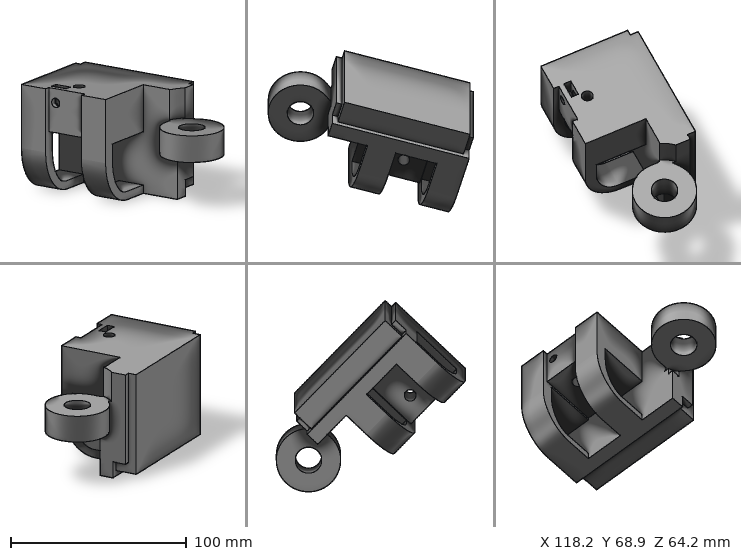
import cadquery as cq
import math

TURN = -10.5

LENGTH = 81.23
DEPTH = 60.02
HEIGHT = 64.17
U_RIGHT = -14.5
U_LEFT = U_RIGHT - LENGTH
V_BACK = 28.35
V_FRONT = V_BACK - DEPTH

WALL_THICKNESS = 21.7
V_WALL = V_BACK - WALL_THICKNESS
LEG_WIDTH = 16.68
LEGS_SPAN = 57.87
U_LEGS_RIGHT = U_LEFT + LEGS_SPAN
GAP_WIDTH = LEGS_SPAN - 2 * LEG_WIDTH
U_GAP = U_LEFT + LEG_WIDTH
WEB_SETBACK = 3.3
V_WEB = V_FRONT + WEB_SETBACK
WEB_HEIGHT = 26.0

OUTER_ROUND_V = 22.2
OUTER_ROUND_Z = 26.5

WINDOW_SIZE = 31.4
FLOOR_THICKNESS = 5.0
LEG_FRONT_THICKNESS = DEPTH - WALL_THICKNESS - WINDOW_SIZE
INNER_ROUND_V = 14.2
INNER_ROUND_Z = OUTER_ROUND_Z - FLOOR_THICKNESS

END_REBATE = 3.4
UPRIGHT_REBATE_DEPTH = 5.0
LOWER_REBATE_DEPTH = 13.3
LOWER_REBATE_TOP = 9.8
BOTTOM_STEP = 3.5

EYE_RADIUS = 18.35
EYE_BORE_RADIUS = 7.5
EYE_THICKNESS = 15.75
EYE_BELOW_TOP = 17.75
EYE_TOP = HEIGHT - EYE_BELOW_TOP
EYE_BOTTOM = EYE_TOP - EYE_THICKNESS
NECK_FILLET = 2.5
UPPER_CLEARANCE_RADIUS = 20.35
LOWER_CLEARANCE_RADIUS = 19.0
LOWER_CLEARANCE_DEPTH = 4.8

PIN_HOLE_RADIUS = 3.3
PIN_HOLE_FROM_LEFT_LEG = 12.85
PIN_HOLE_FROM_WEB_FRONT = 11.75
PIN_HOLE_U = U_GAP + PIN_HOLE_FROM_LEFT_LEG
PIN_HOLE_V = V_WEB + PIN_HOLE_FROM_WEB_FRONT

SCREW_FROM_LEFT_LEG = 4.6
SCREW_BELOW_TOP = 8.35
SCREW_U = U_GAP + SCREW_FROM_LEFT_LEG
SCREW_Z = HEIGHT - SCREW_BELOW_TOP
SCREW_RADIUS = 2.7
SCREW_DEPTH = 25.0
NUT_WIDTH = 9.8
NUT_THICKNESS = 4.4
NUT_WALL = 3.3
NUT_TIP_WIDTH = 1.5
NUT_SLOPE = 35.0


def box(u_range, v_range, z_range):
    """Box between the given limits along u, v and z."""
    lows, highs = zip(u_range, v_range, z_range)
    sizes = [high - low for low, high in zip(lows, highs)]
    return cq.Workplane("XY").box(*sizes, centered=False).translate(lows)


def upright_cylinder(radius, u, v, z_range):
    """Cylinder parallel to Z between two heights."""
    bottom, top = z_range
    return cq.Workplane("XY", origin=(u, v, bottom)).circle(radius).extrude(top - bottom)


def rounded_bar(u_range, v_range, z_range, round_v, round_z):
    """Bar along u whose lower front edge is a quarter ellipse."""
    v_front, v_back = v_range
    z_bottom, z_top = z_range
    return (
        cq.Workplane("YZ", origin=(u_range[0], 0, 0))
        .moveTo(v_front, z_top)
        .lineTo(v_front, z_bottom + round_z)
        .ellipseArc(round_v, round_z, 180, 270, startAtCurrent=True)
        .lineTo(v_back, z_bottom)
        .lineTo(v_back, z_top)
        .close()
        .extrude(u_range[1] - u_range[0])
    )


def make_body():
    """Rear wall with two rounded legs, the web joining them and the window through them."""
    wall = box((U_LEFT, U_RIGHT), (V_WALL, V_BACK), (0, HEIGHT))
    legs = rounded_bar(
        (U_LEFT, U_LEGS_RIGHT), (V_FRONT, V_WALL), (0, HEIGHT), OUTER_ROUND_V, OUTER_ROUND_Z
    )
    window = rounded_bar(
        (U_LEFT, U_LEGS_RIGHT),
        (V_FRONT + LEG_FRONT_THICKNESS, V_WALL),
        (FLOOR_THICKNESS, FLOOR_THICKNESS + WINDOW_SIZE),
        INNER_ROUND_V,
        INNER_ROUND_Z,
    )
    gap_range = (U_GAP, U_GAP + GAP_WIDTH)
    gap_below_web = box(gap_range, (V_FRONT, V_WALL), (0, HEIGHT - WEB_HEIGHT))
    web_recess = box(gap_range, (V_FRONT, V_WEB), (0, HEIGHT))
    return wall.union(legs.cut(window).cut(gap_below_web).cut(web_recess))


def cut_back_rebates(body):
    """L-shaped rebates on both ends of the wall and a step along its lower back edge."""
    v_lower = V_BACK - LOWER_REBATE_DEPTH
    v_upright = V_BACK - UPRIGHT_REBATE_DEPTH
    for u_range in ((U_LEFT, U_LEFT + END_REBATE), (U_RIGHT - END_REBATE, U_RIGHT)):
        body = body.cut(box(u_range, (v_upright, V_BACK), (0, HEIGHT)))
        body = body.cut(box(u_range, (v_lower, V_BACK), (0, LOWER_REBATE_TOP)))
    return body.cut(box((U_LEFT, U_RIGHT), (v_lower, V_BACK), (0, BOTTOM_STEP)))


def make_hinge():
    """Eye disc with a neck tangent to it that runs into the end of the rear wall."""
    neck_v = math.sqrt(LOWER_CLEARANCE_RADIUS**2 - U_RIGHT**2)
    tangent_angle = math.atan2(neck_v, U_RIGHT) - math.acos(EYE_RADIUS / LOWER_CLEARANCE_RADIUS)
    tangent_point = (EYE_RADIUS * math.cos(tangent_angle), EYE_RADIUS * math.sin(tangent_angle))
    neck = (
        cq.Workplane("XY", origin=(0, 0, EYE_BOTTOM))
        .polyline([(0, 0), (-EYE_RADIUS, 0), (-EYE_RADIUS, V_WALL), (U_RIGHT, neck_v), tangent_point])
        .close()
        .extrude(EYE_THICKNESS)
    )
    return upright_cylinder(EYE_RADIUS, 0, 0, (EYE_BOTTOM, EYE_TOP)).union(neck)


def make_neck_fillet():
    """Concave fillet between the wall's front and the neck, from the eye's underside to the top."""
    z_range = (EYE_BOTTOM, HEIGHT)
    u_start = -EYE_RADIUS - NECK_FILLET
    v_start = V_WALL - NECK_FILLET
    corner = box((u_start, -EYE_RADIUS), (v_start, V_WALL), z_range)
    return corner.cut(upright_cylinder(NECK_FILLET, u_start, v_start, z_range))


def cut_eye_clearances(body):
    """Round clearances around the eye, above it to the top and a short way below it."""
    above = upright_cylinder(UPPER_CLEARANCE_RADIUS, 0, 0, (EYE_TOP, HEIGHT))
    below_range = (EYE_BOTTOM - LOWER_CLEARANCE_DEPTH, EYE_BOTTOM)
    below = upright_cylinder(LOWER_CLEARANCE_RADIUS, 0, 0, below_range)
    return body.cut(above).cut(below)


def make_nut_slot():
    """Slot open at the top, with sloping sides and a narrow flat at its bottom."""
    half_width = NUT_WIDTH / 2
    half_tip = NUT_TIP_WIDTH / 2
    slope = math.tan(math.radians(NUT_SLOPE))
    z_tip = SCREW_Z - half_width / math.cos(math.radians(NUT_SLOPE)) + half_tip * slope
    z_shoulder = z_tip + (half_width - half_tip) * slope
    v_back = V_WEB + NUT_WALL + NUT_THICKNESS
    return (
        cq.Workplane("XZ", origin=(SCREW_U, v_back, 0))
        .moveTo(-half_width, HEIGHT)
        .lineTo(-half_width, z_shoulder)
        .lineTo(-half_tip, z_tip)
        .lineTo(half_tip, z_tip)
        .lineTo(half_width, z_shoulder)
        .lineTo(half_width, HEIGHT)
        .close()
        .extrude(NUT_THICKNESS)
    )


def make_screw_hole():
    """Blind hole running back from the front of the web."""
    plane = cq.Workplane("XZ", origin=(SCREW_U, V_WEB, SCREW_Z))
    return plane.circle(SCREW_RADIUS).extrude(-SCREW_DEPTH)


body = cut_back_rebates(make_body()).union(make_neck_fillet())
body = cut_eye_clearances(body).union(make_hinge())
body = body.cut(upright_cylinder(EYE_BORE_RADIUS, 0, 0, (EYE_BOTTOM, EYE_TOP)))
body = body.cut(upright_cylinder(PIN_HOLE_RADIUS, PIN_HOLE_U, PIN_HOLE_V, (HEIGHT - WEB_HEIGHT, HEIGHT)))
body = body.cut(make_nut_slot()).cut(make_screw_hole())

result = body.rotate((0, 0, 0), (0, 0, 1), TURN)